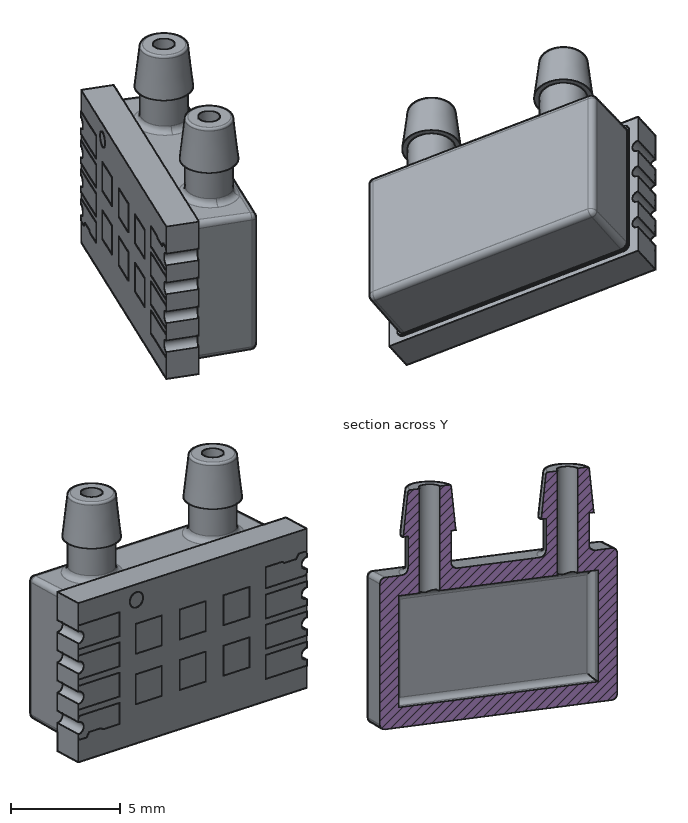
import cadquery as cq

board_width = 13.21
board_thickness = 1.56
board_height = 8.0
board_mid_z = board_height / 2
left_edge = -board_width / 2

copper_thickness = 0.01
mark_diameter = 0.77
mark_x = -3.25
mark_below_top = 0.78
mark_z = board_height - mark_below_top
square_pad_size = 1.5
square_pad_pitch = 2.54
square_pad_columns = 3
square_pad_rows = 2

terminal_rows = 4
terminal_pitch = 1.52
notch_radius = 0.3
terminal_pad_length = 2.38
terminal_pad_height = 1.2
pad_half_height = terminal_pad_height / 2

lobe_corner = 0.13
lobe_length = 0.48
lobe_end = 0.62
recess_end = 1.32
recess_ramp_end = 1.41
recess_level = 0.37
main_level = 0.46

cap_depth = 3.0
cap_width = 12.11
cap_height = 7.27
cap_draft = 1.0
cap_edge_radius = 0.3
foot_thickness = 0.09
foot_overhang = 0.08

cavity_wall = 1.0
cavity_depth = cap_depth - cavity_wall
cavity_edge_radius = 0.3

port_spacing = 7.0
port_behind_board = 1.44
port_y = board_thickness + port_behind_board
port_top_z = 11.6
bore_diameter = 1.0
neck_diameter = 2.2
barb_diameter = 2.7
barb_length = 2.2
barb_base_z = port_top_z - barb_length
tip_diameter = 2.2
tip_edge_radius = 0.13
neck_flare_radius = 0.3


def spread(count, pitch):
    """Positions of evenly spaced items centred on zero."""
    return [(i - (count - 1) / 2) * pitch for i in range(count)]


port_places = spread(2, port_spacing)


def rounded_block(width, height, depth, draft=0):
    """Block with four rounded corners that grows backwards from the board."""
    sketch = cq.Sketch().rect(width, height).vertices().fillet(cap_edge_radius)
    plane = cq.Workplane("XZ", origin=(0, board_thickness, board_mid_z))
    return plane.placeSketch(sketch).extrude(-depth, taper=draft)


def make_board():
    return cq.Workplane("XY").box(
        board_width, board_thickness, board_height, centered=(True, False, False)
    )


def make_cap():
    """Cap with the two port necks blended into its top, and the foot at its base."""
    cap = rounded_block(cap_width, cap_height, cap_depth, cap_draft)
    cap = cap.faces(">Y").edges().fillet(cap_edge_radius)
    for port_x in port_places:
        cap = cap.union(make_neck().translate((port_x, port_y, 0)))
    cap = cap.edges("%ELLIPSE").fillet(neck_flare_radius)
    foot = rounded_block(cap_width + 2 * foot_overhang, cap_height + 2 * foot_overhang, foot_thickness)
    return cap.union(foot)


def make_cavity():
    cavity = (
        cq.Workplane("XZ", origin=(0, board_thickness, board_mid_z))
        .rect(cap_width - 2 * cavity_wall, cap_height - 2 * cavity_wall)
        .extrude(-cavity_depth)
    )
    return cavity.faces(">Y").edges().fillet(cavity_edge_radius)


def make_neck():
    neck = cq.Workplane("XY").workplane(offset=board_mid_z).circle(neck_diameter / 2)
    return neck.extrude(barb_base_z - board_mid_z)


def make_barb():
    """Tapered hose barb, widest at its base, with a rounded tip."""
    barb = (
        cq.Workplane("XZ")
        .moveTo(0, barb_base_z)
        .lineTo(barb_diameter / 2, barb_base_z)
        .lineTo(tip_diameter / 2, port_top_z)
        .lineTo(0, port_top_z)
        .close()
        .revolve(360, (0, 0), (0, 1))
    )
    return barb.faces(">Z").edges().fillet(tip_edge_radius)


def make_bore():
    """Bore from inside the cavity out through the tip of a port."""
    bore = cq.Workplane("XY").workplane(offset=board_mid_z).circle(bore_diameter / 2)
    return bore.extrude(port_top_z - board_mid_z)


def front_plane():
    """Front face of the board, with the origin at the board centre."""
    return cq.Workplane("XZ", origin=(0, 0, board_mid_z))


def make_terminal_pad():
    """Plain pad at the left board edge, centred on its notch."""
    return (
        front_plane()
        .center(left_edge + terminal_pad_length / 2, 0)
        .rect(terminal_pad_length, terminal_pad_height)
        .extrude(copper_thickness)
    )


def make_special_pad():
    """Pad at the left board edge with a rounded lobe at the edge and a stepped lower side."""
    return (
        front_plane()
        .moveTo(left_edge + terminal_pad_length, pad_half_height)
        .lineTo(left_edge + lobe_corner, pad_half_height)
        .radiusArc((left_edge, pad_half_height - lobe_corner), -lobe_corner)
        .lineTo(left_edge, lobe_corner - pad_half_height)
        .radiusArc((left_edge + lobe_corner, -pad_half_height), -lobe_corner)
        .lineTo(left_edge + lobe_length, -pad_half_height)
        .lineTo(left_edge + lobe_end, -recess_level)
        .lineTo(left_edge + recess_end, -recess_level)
        .lineTo(left_edge + recess_ramp_end, -main_level)
        .lineTo(left_edge + terminal_pad_length, -main_level)
        .close()
        .extrude(copper_thickness)
    )


def half_turn(body):
    """The same body turned 180 degrees about the board centre."""
    return body.rotate((0, 0, board_mid_z), (0, 1, board_mid_z), 180)


part = make_board().union(make_cap())
for port_x in port_places:
    part = part.union(make_barb().translate((port_x, port_y, 0)))
    part = part.cut(make_bore().translate((port_x, port_y, 0)))
part = part.cut(make_cavity())

square_centres = [
    (x, z)
    for x in spread(square_pad_columns, square_pad_pitch)
    for z in spread(square_pad_rows, square_pad_pitch)
]
squares = front_plane().pushPoints(square_centres).rect(square_pad_size, square_pad_size)
part = part.union(squares.extrude(copper_thickness))
mark = front_plane().center(mark_x, mark_z - board_mid_z).circle(mark_diameter / 2)
part = part.union(mark.extrude(copper_thickness))

for row, z in enumerate(spread(terminal_rows, terminal_pitch)):
    pad = make_special_pad() if row == 0 else make_terminal_pad()
    pad = pad.translate((0, 0, z))
    part = part.union(pad).union(half_turn(pad))

notch_centres = [
    (x, z)
    for x in (left_edge, -left_edge)
    for z in spread(terminal_rows, terminal_pitch)
]
notches = (
    cq.Workplane("XZ", origin=(0, -copper_thickness, board_mid_z))
    .pushPoints(notch_centres)
    .circle(notch_radius)
    .extrude(-copper_thickness - board_thickness)
)

result = part.cut(notches)